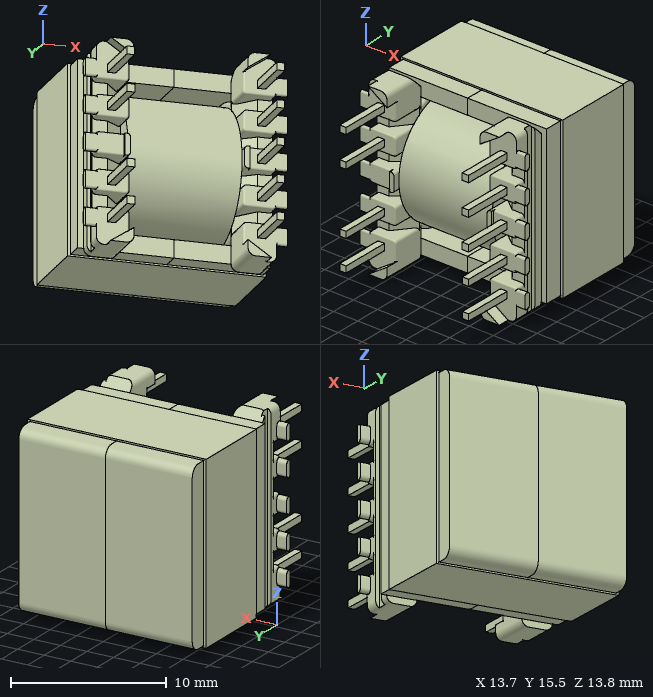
import cadquery as cq


OVERALL_WIDTH = 13.72
OVERALL_DEPTH = 15.47
OVERALL_HEIGHT = 13.8

CORE_HALF_X = 6.55
CORE_DEPTH = 9.0
CORE_HALF_Z = 6.42
CORE_BACK_FILLET = 0.77
CAVITY_HALF_X = 5.1
CAVITY_RADIUS = 5.17
POST_RADIUS = 2.25
AXIS_Y = 2.5

TAPE_THICKNESS_X = 0.2
TAPE_THICKNESS_Z = 0.12
TAPE_FRONT_Y = 1.41
TAPE_BACK_Y = 7.61

WINDING_HALF_X = 3.87
WINDING_RADIUS = 4.76
TUBE_RADIUS = 2.7
FLANGE_FILLET = 0.25

BLOCK_OUTER_X = 6.13
BLOCK_HALF_Z = OVERALL_HEIGHT / 2
FLOOR_Y = -1.73
GROOVE_DEPTH = 0.26
GROOVE_BACK_Y = -0.68
GROOVE_FRONT_Y = -1.42
END_SLOPE = 0.96

RAMP_TOP_X = CAVITY_HALF_X
OUTER_RAMP_DROP = 1.6
INNER_RAMP_DROP = 0.97

ROWS = (-2, -1, 0, 1, 2)
ROW_PITCH = 2.54
PAD_WIDTH = 1.5
PAD_FRONT_Y = -2.55
PAD_EDGE_FILLET = 0.25
CORNER_FILLET = 0.51
FRONT_FILLET = 0.14
LIP_WIDTH = 0.37
LIP_HEIGHT = 0.2

WING_TIP_X = OVERALL_WIDTH / 2
WING_WIDTH = 1.24
WING_THICKNESS = 0.45
WING_BACK_FILLET = 0.3

STANDOFF_HEIGHT = 0.91
STANDOFF_LENGTH_X = 1.58
STANDOFF_LENGTH_Z = 1.05

PIN_SIZE = 0.54
PIN_X = 5.09
PIN_TIP_Y = CORE_DEPTH - OVERALL_DEPTH

CORNER_ROW_Z = max(ROWS) * ROW_PITCH
CORNER_PAD_BOTTOM_Z = CORNER_ROW_Z - PAD_WIDTH / 2
INNER_X = WINDING_HALF_X


def box(x_range, y_range, z_range):
    """Box between the given pairs of X, Y and Z limits."""
    (x0, x1), (y0, y1), (z0, z1) = x_range, y_range, z_range
    return cq.Workplane("XY").box(x1 - x0, y1 - y0, z1 - z0, centered=False).translate((x0, y0, z0))


def x_cylinder(radius, x0, x1):
    """Cylinder around the winding axis between two X positions."""
    return cq.Workplane("YZ", origin=(x0, AXIS_Y, 0)).circle(radius).extrude(x1 - x0)


def cavity_shape(x0, x1):
    """Round space around the winding axis with a slot of the same width, ending at the open face."""
    z_range = (-CAVITY_RADIUS, CAVITY_RADIUS)
    slot = box((x0, x1), (0, AXIS_Y), z_range)
    envelope = box((x0, x1), (0, CORE_DEPTH), z_range)
    return x_cylinder(CAVITY_RADIUS, x0, x1).union(slot).intersect(envelope)


def core_half():
    """The +X half of the core, with its half of the centre post."""
    block = box((0, CORE_HALF_X), (0, CORE_DEPTH), (-CORE_HALF_Z, CORE_HALF_Z))
    block = block.faces(">Y").edges("|X").fillet(CORE_BACK_FILLET)
    post = x_cylinder(POST_RADIUS, 0, CAVITY_HALF_X)
    return block.cut(cavity_shape(0, CAVITY_HALF_X)).union(post)


def tape_band():
    """Rectangular band around both core halves."""
    y_range = (TAPE_FRONT_Y, TAPE_BACK_Y)
    outer_x = CORE_HALF_X + TAPE_THICKNESS_X
    outer_z = CORE_HALF_Z + TAPE_THICKNESS_Z
    outer = box((-outer_x, outer_x), y_range, (-outer_z, outer_z))
    inner = box((-CORE_HALF_X, CORE_HALF_X), y_range, (-CORE_HALF_Z, CORE_HALF_Z))
    return outer.cut(inner)


def winding_coil():
    """Copper winding on the bobbin tube, between the two flanges."""
    outer = x_cylinder(WINDING_RADIUS, -WINDING_HALF_X, WINDING_HALF_X)
    return outer.cut(x_cylinder(TUBE_RADIUS, -WINDING_HALF_X, WINDING_HALF_X))


def ramp_base(ramp_drop, half_z):
    """Body of the end block, with its floor and its ramp down to the inner face."""
    profile = [
        (INNER_X, 0),
        (BLOCK_OUTER_X, 0),
        (BLOCK_OUTER_X, FLOOR_Y),
        (RAMP_TOP_X, FLOOR_Y),
        (INNER_X, FLOOR_Y + ramp_drop),
    ]
    return cq.Workplane("XY").polyline(profile).close().extrude(half_z, both=True)


def wing(row_z):
    """Flat tab on the outer side of a pad, rounded at the back and, less, at the front."""
    tab = box(
        (PIN_X, WING_TIP_X),
        (PAD_FRONT_Y, PAD_FRONT_Y + WING_THICKNESS),
        (row_z - WING_WIDTH / 2, row_z + WING_WIDTH / 2),
    )
    tab = tab.faces(">Y").edges("|X").fillet(WING_BACK_FILLET)
    return tab.faces("<Y").edges("|X").fillet(FRONT_FILLET)


def row_pad(row_z):
    """Pad with rounded sides and a rounded front edge."""
    z_range = (row_z - PAD_WIDTH / 2, row_z + PAD_WIDTH / 2)
    pad = box((INNER_X, BLOCK_OUTER_X), (PAD_FRONT_Y, 0), z_range)
    pad = pad.edges("|Y").fillet(PAD_EDGE_FILLET)
    return pad.faces("<Y").fillet(FRONT_FILLET)


def middle_pad():
    """Centre pad, with a raised lip along its inner edge."""
    pad = row_pad(0)
    lip = box(
        (INNER_X, INNER_X + LIP_WIDTH),
        (PAD_FRONT_Y - LIP_HEIGHT, FLOOR_Y),
        (-PAD_WIDTH / 2, PAD_WIDTH / 2),
    )
    return pad.union(lip.edges("|Y and <X").fillet(PAD_EDGE_FILLET))


def corner_post(front_y):
    """Corner pad of the +Z end up to the given front plane, with all its fillets along Y."""
    post = box((INNER_X, BLOCK_OUTER_X), (front_y, 0), (CORNER_PAD_BOTTOM_Z, BLOCK_HALF_Z))
    post = post.edges("|Y and <Z").fillet(PAD_EDGE_FILLET)
    return post.edges("|Y and >Z").fillet(CORNER_FILLET)


def corner_pad():
    """Corner pad of the +Z end, rounded on its inner and lower sides, with its standoff."""
    foot_y = PAD_FRONT_Y - STANDOFF_HEIGHT
    standoff_low_z = BLOCK_HALF_Z - STANDOFF_LENGTH_Z
    pad = corner_post(PAD_FRONT_Y).faces("<Y").fillet(FRONT_FILLET)

    end_zone = box((INNER_X, BLOCK_OUTER_X), (PAD_FRONT_Y, 0), (standoff_low_z, BLOCK_HALF_Z))
    side_zone = box(
        (BLOCK_OUTER_X - CORNER_FILLET, BLOCK_OUTER_X),
        (PAD_FRONT_Y, 0),
        (CORNER_ROW_Z, BLOCK_HALF_Z),
    )
    sharp_part = corner_post(PAD_FRONT_Y).intersect(end_zone.union(side_zone))

    triangle = [
        (INNER_X, BLOCK_HALF_Z),
        (INNER_X + STANDOFF_LENGTH_X, BLOCK_HALF_Z),
        (INNER_X, standoff_low_z),
    ]
    prism = cq.Workplane("XZ").polyline(triangle).close().extrude(-foot_y)
    return pad.union(sharp_part).union(corner_post(foot_y).intersect(prism))


def end_groove():
    """Groove along Z in the outer side of the end block."""
    return box(
        (BLOCK_OUTER_X - GROOVE_DEPTH, BLOCK_OUTER_X),
        (GROOVE_FRONT_Y, GROOVE_BACK_Y),
        (-BLOCK_HALF_Z, BLOCK_HALF_Z),
    )


def end_slope():
    """Wedge cut off the +Z end of the block where it meets the core."""
    wedge = [(0, BLOCK_HALF_Z), (0, BLOCK_HALF_Z - END_SLOPE), (-END_SLOPE, BLOCK_HALF_Z)]
    return cq.Workplane("YZ").polyline(wedge).close().extrude(BLOCK_OUTER_X)


def end_block():
    """The +X end block with its five pads, without pins."""
    block = ramp_base(OUTER_RAMP_DROP, CORNER_ROW_Z).union(ramp_base(INNER_RAMP_DROP, ROW_PITCH))
    top_corner = corner_pad()
    block = block.union(top_corner).union(top_corner.mirror("XY")).union(middle_pad())
    for side in (-1, 1):
        block = block.union(row_pad(side * ROW_PITCH))
    for row in ROWS:
        block = block.union(wing(row * ROW_PITCH))
    return block.cut(end_groove()).cut(end_slope())


def pin(x, z):
    """Square pin out of the front of a pad."""
    half = PIN_SIZE / 2
    return box((x - half, x + half), (PIN_TIP_Y, FLOOR_Y), (z - half, z + half))


def flange():
    """Flange disc inside the core, rounded toward the winding and cut flat at the open face."""
    envelope = box((INNER_X, CAVITY_HALF_X), (0, CORE_DEPTH), (-CAVITY_RADIUS, CAVITY_RADIUS))
    disc = x_cylinder(CAVITY_RADIUS, INNER_X, CAVITY_HALF_X)
    return disc.faces("<X").edges().fillet(FLANGE_FILLET).intersect(envelope)


def bobbin_body():
    """Tube, two flanges, two end blocks and nine pins as one solid."""
    right_end = flange().union(end_block())
    body = x_cylinder(TUBE_RADIUS, -CAVITY_HALF_X, CAVITY_HALF_X)
    body = body.union(right_end).union(right_end.mirror("YZ"))
    body = body.cut(x_cylinder(POST_RADIUS, -CAVITY_HALF_X, CAVITY_HALF_X))
    for side in (-1, 1):
        for row in ROWS:
            if side == 1 or row != 0:
                body = body.union(pin(side * PIN_X, row * ROW_PITCH))
    return body


right_core = core_half()
core_halves = [right_core, right_core.mirror("YZ")]
tape = tape_band()
winding = winding_coil()
bobbin = bobbin_body()

result = cq.Compound.makeCompound(
    [*(half.val() for half in core_halves), tape.val(), winding.val(), bobbin.val()]
)